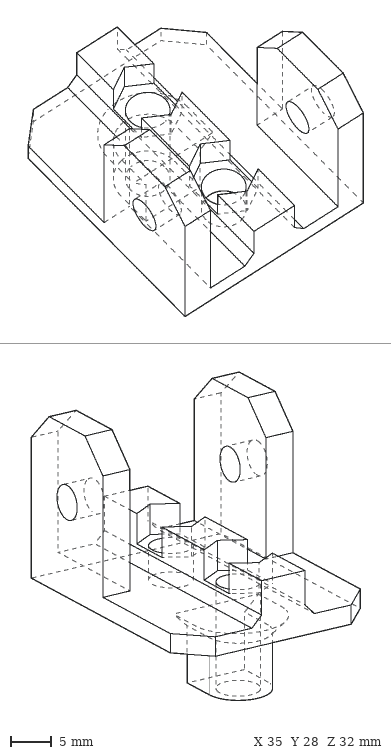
import cadquery as cq

length = 35.0
width = 28.0
base_thickness = 2.55
corner_cut = 4.0

rib_width = 6.37
rib_top = 8.5
foot_slope = 1.45

ear_thickness = 4.0
ear_start = 19.0
ear_top = 22.5
ear_hole_diameter = 4.5
ear_hole_x = 27.0
ear_hole_z = 12.5

bolt_x = 10.0
bolt_spacing = 15.0
bolt_diameter = 5.5
nut_corner_diameter = 9.25
nut_floor = 4.5

boss_radius = 4.25
boss_height = 9.5
boss_end = 15.0
flare_height = 1.95
flare_radius_x = 6.0
flare_radius_y = 6.25


def make_base():
    plate = cq.Workplane("XY").box(length, width, base_thickness, centered=(False, True, False))
    return plate.edges("|Z and <X").chamfer(corner_cut)


def make_rib():
    half_width = rib_width / 2
    half_foot = half_width + foot_slope
    half_profile = [
        (half_foot, 0),
        (half_foot, base_thickness),
        (half_width, base_thickness + foot_slope),
        (half_width, rib_top),
    ]
    mirrored = [(-y, z) for y, z in reversed(half_profile)]
    return cq.Workplane("YZ").polyline(half_profile + mirrored).close().extrude(length)


def make_ear(center_y):
    ear = (
        cq.Workplane("XY")
        .box(length - ear_start, ear_thickness, ear_top, centered=(False, True, False))
        .edges("|Y and >Z")
        .chamfer(corner_cut)
        .translate((ear_start, center_y, 0))
    )
    hole = (
        cq.Workplane("XZ", origin=(ear_hole_x, center_y, ear_hole_z))
        .circle(ear_hole_diameter / 2)
        .extrude(ear_thickness, both=True)
    )
    return ear.cut(hole)


def boss_section(z, radius_x, radius_y):
    """Outline with a half-elliptical left end and a straight right end."""
    half_ellipse = cq.Workplane("XY", origin=(bolt_x, 0, z)).ellipseArc(
        radius_x, radius_y, 90, 270, startAtCurrent=False
    )
    straight = boss_end - bolt_x
    outline = half_ellipse.lineTo(straight, -radius_y).lineTo(straight, radius_y).close()
    return outline.wire().val()


def make_boss():
    top = boss_section(0, flare_radius_x, flare_radius_y)
    neck = boss_section(-flare_height, boss_radius, boss_radius)
    flare = cq.Workplane(cq.Solid.makeLoft([top, neck], True))
    straight_part = cq.Workplane(
        cq.Solid.extrudeLinear(neck, [], cq.Vector(0, 0, flare_height - boss_height))
    )
    return flare.union(straight_part)


def make_bolt_cut(x):
    hole = (
        cq.Workplane("XY", origin=(x, 0, -boss_height))
        .circle(bolt_diameter / 2)
        .extrude(boss_height + rib_top)
    )
    nut_pocket = (
        cq.Workplane("XY", origin=(x, 0, nut_floor))
        .polygon(6, nut_corner_diameter)
        .extrude(rib_top - nut_floor)
    )
    return hole.union(nut_pocket)


ear_center_y = (width - ear_thickness) / 2
result = make_base().union(make_rib()).union(make_boss())
for side in (-1, 1):
    result = result.union(make_ear(side * ear_center_y))
for x in (bolt_x, bolt_x + bolt_spacing):
    result = result.cut(make_bolt_cut(x))